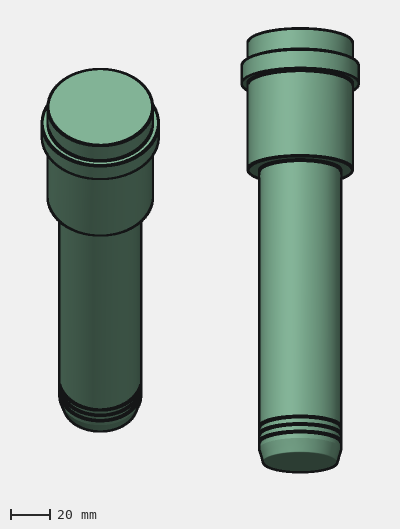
import cadquery as cq

total_height = 223.0
head_height = 12.0
collar_height = 10.0
sleeve_height = 46.0
collar_top = total_height - head_height
collar_bottom = collar_top - collar_height
sleeve_bottom = collar_bottom - sleeve_height

head_diameter = 54.0
collar_diameter = 60.0
stem_diameter = 42.0

rim_chamfer = 0.5

taper_height = 7.0
tip_diameter = 38.0
tip_fillet = 0.5

groove_height = 1.0
groove_depth = 0.5
ring_count = 3
ring_pitch = 4.0
ring_gap = 3.0


def cylinder(diameter, bottom, top):
    """Upright cylinder on the Z axis between two heights."""
    return cq.Workplane("XY").workplane(offset=bottom).circle(diameter / 2).extrude(top - bottom)


def revolve_outline(points):
    """Revolve a closed (radius, height) outline about the Z axis."""
    return cq.Workplane("XZ").polyline(points).close().revolve(360, (0, 0, 0), (0, 1, 0))


def v_groove(diameter, bottom):
    """Cutter for a V groove around a cylindrical surface of the given diameter."""
    radius = diameter / 2
    return revolve_outline([
        (radius, bottom),
        (radius - groove_depth, bottom + groove_height / 2),
        (radius, bottom + groove_height),
    ])


def make_stem():
    """Stem with a tapered, rounded tip, ring grooves and a relief below the sleeve."""
    radius = stem_diameter / 2
    stem = revolve_outline([
        (0, 0),
        (tip_diameter / 2, 0),
        (radius, taper_height),
        (radius, sleeve_bottom),
        (0, sleeve_bottom),
    ])
    stem = stem.faces("<Z").edges().fillet(tip_fillet)
    for index in range(ring_count):
        stem = stem.cut(v_groove(stem_diameter, taper_height + ring_gap + index * ring_pitch))
    return stem.cut(v_groove(stem_diameter, sleeve_bottom - groove_height))


def make_head_and_sleeve():
    """Cylinder for the head and the sleeve, relieved above and below the collar."""
    body = cylinder(head_diameter, sleeve_bottom, total_height)
    body = body.faces("<Z or >Z").edges().chamfer(rim_chamfer)
    for relief_bottom in (collar_top, collar_bottom - groove_height):
        body = body.cut(v_groove(head_diameter, relief_bottom))
    return body


def make_collar():
    """Collar with its upper rim chamfered."""
    collar = cylinder(collar_diameter, collar_bottom, collar_top)
    return collar.faces(">Z").edges().chamfer(rim_chamfer)


result = make_stem().union(make_head_and_sleeve()).union(make_collar())